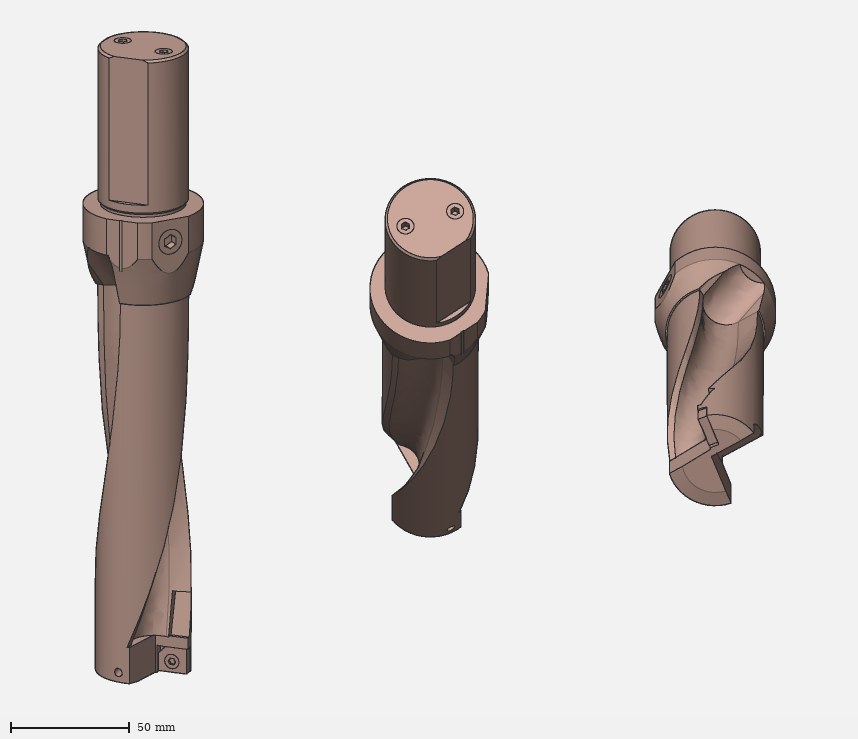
import cadquery as cq
import math

TOTAL_LENGTH = 278.29
SHANK_LENGTH = 70.0
SHANK_RADIUS = 38.1 / 2
SHANK_CHAMFER = 1.0
SHANK_FLAT_DISTANCE = 16.9
SHANK_FLAT_LENGTH = 64.3

COLLAR_RADIUS = 50.8 / 2
COLLAR_LENGTH = 16.2
COLLAR_TOP = TOTAL_LENGTH - SHANK_LENGTH
COLLAR_BOTTOM = COLLAR_TOP - COLLAR_LENGTH
NECK_RADIUS = SHANK_RADIUS - SHANK_CHAMFER
NECK_LENGTH = 1.2

DRILL_RADIUS = 20.2
CONE_BOTTOM = 170.0
CONE_BOTTOM_RADIUS = 20.9
TIP_FLAT_RADIUS = 14.0
TIP_RISE = 0.9

MARK_FLAT_DISTANCE = 49.8 - COLLAR_RADIUS
MARK_GROOVE_WIDTH = 1.2
MARK_GROOVE_DEPTH = 0.3
PORT_FLAT_DISTANCE = 23.85
PORT_ANGLE = -40.0
PORT_HEIGHT = 198.4

OUTER_FLUTE_START = 17.0
CENTER_FLUTE_START = 24.0
FLUTE_TWIST = 91.0
FLUTE_TWIST_EASING = 2.0
FLUTE_STATIONS = 9
FLUTE_RIM_Y = -1.0
FLUTE_LIP_ANGLE = math.radians(128)
FLUTE_ARC_RADIUS = 10.1
FLUTE_ARC_CENTER = (-11.1, -9.5)
FLUTE_WALL_ANGLE = math.radians(-8)
FLUTE_REACH = 26.0
RUNOUT = (-6.0, -24.0, 28.5)

OUTER_POCKET_TOP = OUTER_FLUTE_START
RELIEF_X = 12.0
RELIEF_TOP = 36.0
RELIEF_BOTTOM_Y = 1.5
RELIEF_TOP_Y = 7.0
OUTER_WALL_RIM_X = 1.6
OUTER_WALL_ROOT_X = 5.5
SEAT_FLOOR_Y = 0.0

CENTER_FLOOR_Y = -0.8
CENTER_WALL_X = 2.5
CENTER_WALL_TILT = 8.0
CENTER_STRAIGHT = 10.5
CENTER_ROOF_RUN = 4.5
CENTER_ROOF_RISE = 9.5

INSERT_X = (7.0, 19.5)
INSERT_Z = (TIP_RISE, 12.0)
INSERT_THICKNESS = 4.0
INSERT_CORNER = 3.0
SEAT_GAP = 0.8
SCREW_X = 12.9
SCREW_Z = 5.7
SCREW_HEAD_RADIUS = 3.2
SCREW_SHANK_RADIUS = 1.9
SCREW_HEAD_LENGTH = 2.0
SCREW_LENGTH = 10.0
SCREW_SOCKET = 3.2
SCREW_SOCKET_DEPTH = 1.2

PORT_PLUG_RADIUS = 5.5
PORT_PLUG_LENGTH = 8.0
PORT_SOCKET = 6.2
SHANK_PLUG_RADIUS = 3.6
SHANK_PLUG_LENGTH = 8.0
SHANK_SOCKET = 3.8
SHANK_PLUG_OFFSET = 11.0
SHANK_PLUG_ANGLE = 163.0

COOLANT_RADIUS = 1.8
COOLANT_X = -3.4
COOLANT_Z = 5.2
COOLANT_DEPTH = 8.0


def turned_blank():
    """Shank, neck, collar, cone and drill stem as one revolved solid."""
    neck_top = COLLAR_TOP + NECK_LENGTH
    profile = [
        (0, 0),
        (TIP_FLAT_RADIUS, 0),
        (DRILL_RADIUS, TIP_RISE),
        (DRILL_RADIUS, CONE_BOTTOM),
        (CONE_BOTTOM_RADIUS, CONE_BOTTOM),
        (COLLAR_RADIUS, COLLAR_BOTTOM),
        (COLLAR_RADIUS, COLLAR_TOP),
        (NECK_RADIUS, COLLAR_TOP),
        (NECK_RADIUS, neck_top),
        (SHANK_RADIUS, neck_top + SHANK_CHAMFER),
        (SHANK_RADIUS, TOTAL_LENGTH - SHANK_CHAMFER),
        (SHANK_RADIUS - SHANK_CHAMFER, TOTAL_LENGTH),
        (0, TOTAL_LENGTH),
    ]
    return cq.Workplane("XZ").polyline(profile).close().revolve(360, (0, 0), (0, 1))


def box_between(x, y, z):
    """Box spanning three (low, high) ranges."""
    size = (x[1] - x[0], y[1] - y[0], z[1] - z[0])
    return cq.Workplane("XY").box(*size, centered=False).translate((x[0], y[0], z[0]))


def flute_section(z, turn):
    """Flute outline at height z, turned about the axis: narrow lip, concave arc, leaning wall."""

    def arc_point(angle):
        return (
            FLUTE_ARC_CENTER[0] + FLUTE_ARC_RADIUS * math.cos(angle),
            FLUTE_ARC_CENTER[1] + FLUTE_ARC_RADIUS * math.sin(angle),
        )

    arc_end = arc_point(FLUTE_WALL_ANGLE)
    wall_end_x = arc_end[0] + (arc_end[1] + FLUTE_REACH) * math.tan(FLUTE_WALL_ANGLE)
    outline = (
        cq.Workplane("XY")
        .moveTo(-FLUTE_REACH, FLUTE_RIM_Y)
        .lineTo(-DRILL_RADIUS, FLUTE_RIM_Y)
        .lineTo(*arc_point(FLUTE_LIP_ANGLE))
        .threePointArc(arc_point((FLUTE_WALL_ANGLE + FLUTE_LIP_ANGLE) / 2), arc_end)
        .lineTo(wall_end_x, -FLUTE_REACH)
        .lineTo(-FLUTE_REACH, -FLUTE_REACH)
        .close()
    )
    wire = outline.val().rotate(cq.Vector(0, 0, 0), cq.Vector(0, 0, 1), turn)
    return wire.translate(cq.Vector(0, 0, z))


def flute(start):
    """Helical flute from a start height, whose twist eases to straight at the cone."""
    sections = []
    for station in range(FLUTE_STATIONS):
        z = start + station / (FLUTE_STATIONS - 1) * (CONE_BOTTOM - start)
        below_cone = (CONE_BOTTOM - z) / (CONE_BOTTOM - OUTER_FLUTE_START)
        sections.append(flute_section(z, -FLUTE_TWIST * below_cone**FLUTE_TWIST_EASING))
    return cq.Workplane(obj=cq.Solid.makeLoft(sections))


def flute_runout():
    """Continuation of the flute that climbs outward through the cone and stops at the collar."""
    section = flute_section(CONE_BOTTOM, 0)
    prism = cq.Workplane(obj=cq.Solid.extrudeLinear(section, [], cq.Vector(*RUNOUT)))
    reach = (-2 * FLUTE_REACH, 2 * FLUTE_REACH)
    return prism.intersect(box_between(reach, reach, (CONE_BOTTOM, COLLAR_BOTTOM)))


def outer_pocket():
    outline = [
        (OUTER_WALL_RIM_X, -DRILL_RADIUS),
        (OUTER_WALL_ROOT_X, SEAT_FLOOR_Y),
        (FLUTE_REACH, SEAT_FLOOR_Y),
        (FLUTE_REACH, -DRILL_RADIUS),
    ]
    return cq.Workplane("XY").polyline(outline).close().extrude(OUTER_POCKET_TOP)


def outer_relief():
    """Sloping flat above the outer pocket."""
    outline = [
        (-DRILL_RADIUS, OUTER_POCKET_TOP),
        (RELIEF_BOTTOM_Y, OUTER_POCKET_TOP),
        (RELIEF_TOP_Y, RELIEF_TOP),
        (-DRILL_RADIUS, RELIEF_TOP),
    ]
    prism = cq.Workplane("YZ", origin=(RELIEF_X, 0, 0)).polyline(outline).close()
    return prism.extrude(FLUTE_REACH - RELIEF_X)


def center_pocket():
    """Pocket with a tilted wall that curves over into a sloping roof."""
    roof_x = CENTER_WALL_X - CENTER_ROOF_RUN
    roof_z = CENTER_STRAIGHT + CENTER_ROOF_RISE
    roof_angle = 2 * math.atan(CENTER_ROOF_RUN / CENTER_ROOF_RISE)
    pocket_top = roof_z + (FLUTE_REACH + roof_x) / math.tan(roof_angle)
    prism = (
        cq.Workplane("XZ")
        .moveTo(-FLUTE_REACH, 0)
        .lineTo(CENTER_WALL_X, 0)
        .lineTo(CENTER_WALL_X, CENTER_STRAIGHT)
        .tangentArcPoint((roof_x, roof_z), relative=False)
        .lineTo(-FLUTE_REACH, pocket_top)
        .close()
        .extrude(FLUTE_REACH, both=True)
        .rotate((CENTER_WALL_X, 0, 0), (CENTER_WALL_X, 0, 1), -CENTER_WALL_TILT)
    )
    open_side = box_between(
        (-2 * FLUTE_REACH, FLUTE_REACH), (CENTER_FLOOR_Y, FLUTE_REACH), (0, pocket_top)
    )
    return prism.intersect(open_side)


def insert_seat():
    return box_between(
        (INSERT_X[0] - SEAT_GAP, FLUTE_REACH),
        (SEAT_FLOOR_Y, SEAT_FLOOR_Y + INSERT_THICKNESS),
        (0, INSERT_Z[1]),
    )


def screw_blank():
    """Countersunk screw without its socket; also the hole it fills."""
    profile = [
        (0, 0),
        (SCREW_HEAD_RADIUS, 0),
        (SCREW_SHANK_RADIUS, SCREW_HEAD_LENGTH),
        (SCREW_SHANK_RADIUS, SCREW_LENGTH),
        (0, SCREW_LENGTH),
    ]
    screw = cq.Workplane("XY").polyline(profile).close().revolve(360, (0, 0), (0, 1))
    return screw.translate((SCREW_X, SEAT_FLOOR_Y, SCREW_Z))


def insert_screw():
    socket = (
        cq.Workplane("XZ", origin=(SCREW_X, SEAT_FLOOR_Y, SCREW_Z))
        .polygon(6, SCREW_SOCKET)
        .extrude(-SCREW_SOCKET_DEPTH)
    )
    return screw_blank().cut(socket)


def cutting_insert():
    plate = box_between(INSERT_X, (SEAT_FLOOR_Y, SEAT_FLOOR_Y + INSERT_THICKNESS), INSERT_Z)
    return plate.edges("|Y and <X and >Z").chamfer(INSERT_CORNER).cut(screw_blank())


def plug_blank(plane, radius, length):
    """Cylinder going inward from the face that the plane lies on; also the hole it fills."""
    return cq.Workplane(plane).circle(radius).extrude(-length)


def socket_plug(plane, radius, length, socket):
    hexagon = cq.Workplane(plane).polygon(6, socket).extrude(-length / 2)
    return plug_blank(plane, radius, length).cut(hexagon)


def port_plane():
    """Plane on the angled collar flat, with its X direction along the drill axis."""
    angle = math.radians(PORT_ANGLE)
    normal = (math.cos(angle), math.sin(angle), 0)
    origin = (PORT_FLAT_DISTANCE * normal[0], PORT_FLAT_DISTANCE * normal[1], PORT_HEIGHT)
    return cq.Plane(origin=origin, xDir=(0, 0, 1), normal=normal)


def shank_plug_planes():
    planes = []
    for half_turn in (0, 180):
        angle = math.radians(SHANK_PLUG_ANGLE + half_turn)
        origin = (
            SHANK_PLUG_OFFSET * math.cos(angle),
            SHANK_PLUG_OFFSET * math.sin(angle),
            TOTAL_LENGTH,
        )
        planes.append(cq.Plane(origin=origin))
    return planes


def side_flat(distance, bottom, top, angle):
    """Block that leaves a flat at a distance from the axis, facing the given angle."""
    depth = 2 * COLLAR_RADIUS
    block = box_between((distance, distance + depth), (-depth, depth), (bottom, top))
    return block.rotate((0, 0, 0), (0, 0, 1), angle)


def mark_groove():
    return box_between(
        (-MARK_GROOVE_WIDTH, 0),
        (-COLLAR_RADIUS, MARK_GROOVE_DEPTH - MARK_FLAT_DISTANCE),
        (CONE_BOTTOM, COLLAR_TOP),
    )


def coolant_hole():
    start = cq.Workplane("XZ", origin=(COOLANT_X, -DRILL_RADIUS, COOLANT_Z))
    return start.circle(COOLANT_RADIUS).extrude(-COOLANT_DEPTH)


body = turned_blank()
flat_bottom = TOTAL_LENGTH - SHANK_FLAT_LENGTH
body = body.cut(side_flat(SHANK_FLAT_DISTANCE, flat_bottom, TOTAL_LENGTH, -90))
body = body.cut(side_flat(MARK_FLAT_DISTANCE, CONE_BOTTOM, COLLAR_TOP, -90))
body = body.cut(side_flat(PORT_FLAT_DISTANCE, CONE_BOTTOM, COLLAR_TOP, PORT_ANGLE))
body = body.cut(mark_groove())
for half_turn, start in ((0, CENTER_FLUTE_START), (180, OUTER_FLUTE_START)):
    for cutter in (flute(start), flute_runout()):
        body = body.cut(cutter.rotate((0, 0, 0), (0, 0, 1), half_turn))
body = body.cut(outer_pocket()).cut(outer_relief()).cut(center_pocket()).cut(insert_seat())
body = body.cut(screw_blank()).cut(coolant_hole())
body = body.cut(plug_blank(port_plane(), PORT_PLUG_RADIUS, PORT_PLUG_LENGTH))
for plane in shank_plug_planes():
    body = body.cut(plug_blank(plane, SHANK_PLUG_RADIUS, SHANK_PLUG_LENGTH))

insert = cutting_insert()
screw = insert_screw()
port_plug = socket_plug(port_plane(), PORT_PLUG_RADIUS, PORT_PLUG_LENGTH, PORT_SOCKET)
shank_plugs = [
    socket_plug(plane, SHANK_PLUG_RADIUS, SHANK_PLUG_LENGTH, SHANK_SOCKET).val()
    for plane in shank_plug_planes()
]

result = cq.Compound.makeCompound(
    [body.val(), insert.val(), screw.val(), port_plug.val(), *shank_plugs]
)